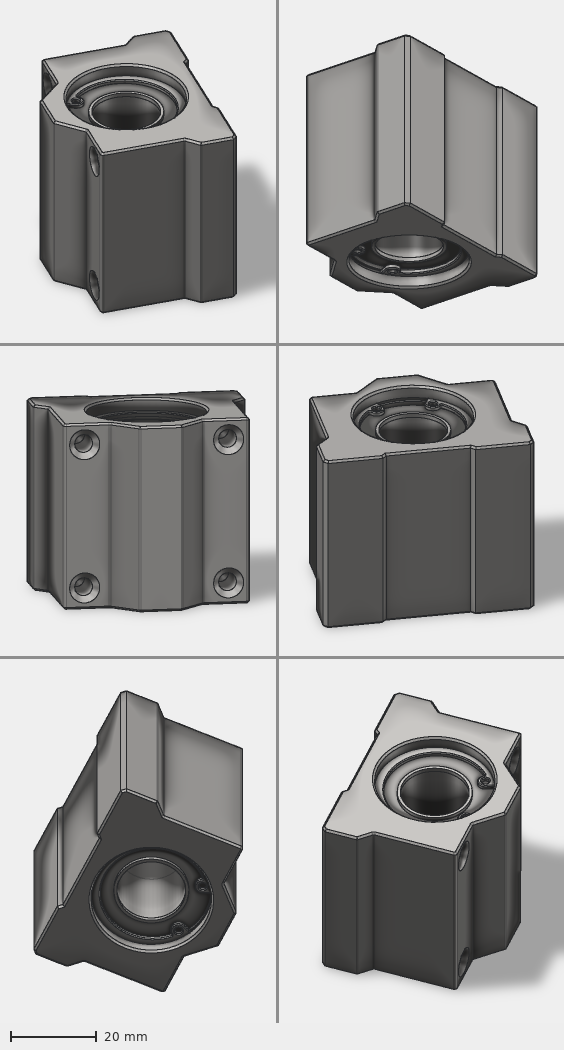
import cadquery as cq
import math

LENGTH = 44.0
HALF_LENGTH = LENGTH / 2
FLANGE_HALF_WIDTH = 25.0
BODY_HALF_WIDTH = 22.0
BACK_Y = 19.0
FLANGE_FRONT_Y = 10.0
BODY_FRONT_Y = -13.5
NOSE_Y = -19.5
NOSE_HALF_WIDTH = 5.0
RELIEF_HALF_WIDTH = 10.0
RELIEF_DEPTH = 1.0
BACK_CORNER_CHAMFER = 1.0
EDGE_ROUND = 0.5
BODY_CORNER_ROUND = 0.75
END_CHAMFER = 0.5

BORE_RADIUS = 14.0
BORE_CHAMFER = 0.5

HOLE_X = 17.0
HOLE_Z = 17.0
HOLE_RADIUS = 2.1
HOLE_DEPTH = 12.0
DRILL_POINT_ANGLE = 118.0
COUNTERSINK_RADIUS = 3.55

SHAFT_RADIUS = 8.0
SLEEVE_HALF_LENGTH = 17.0
COLLAR_RADIUS = 8.75
COLLAR_HEIGHT = 1.0

RING_OUTER_RADIUS = 14.7
RING_INNER_RADIUS = 12.3
RING_ECCENTRICITY = 0.45
RING_TOP_Z = 19.0
RING_THICKNESS = 1.0
RING_EDGE_CHAMFER = 0.25
LUG_CENTER_RADIUS = 12.1
LUG_ANGLE = 33.5
LUG_RADIUS = 1.85
LUG_HOLE_RADIUS = 0.9
LUG_ROOT_FILLET = 0.3


def mirrored_outline(right_side):
    """Close an outline from its right-hand points by reflecting them in the YZ plane."""
    left_side = [(-x, y) for x, y in reversed(right_side)]
    return cq.Workplane("XY").polyline(right_side + left_side).close()


def housing_block():
    flange_slope = FLANGE_HALF_WIDTH - BODY_HALF_WIDTH
    nose_slope = BODY_FRONT_Y - NOSE_Y
    nose_corner = (NOSE_HALF_WIDTH, NOSE_Y)
    nose_root = (NOSE_HALF_WIDTH + nose_slope, BODY_FRONT_Y)
    flange_root = (BODY_HALF_WIDTH, FLANGE_FRONT_Y - flange_slope)
    flange_corner = (FLANGE_HALF_WIDTH, FLANGE_FRONT_Y)
    rounded_right_edges = [nose_corner, nose_root, flange_root, flange_corner]
    outline = mirrored_outline(
        [
            nose_corner,
            nose_root,
            (BODY_HALF_WIDTH, BODY_FRONT_Y),
            flange_root,
            flange_corner,
            (FLANGE_HALF_WIDTH, BACK_Y - BACK_CORNER_CHAMFER),
            (FLANGE_HALF_WIDTH - BACK_CORNER_CHAMFER, BACK_Y),
            (RELIEF_HALF_WIDTH + RELIEF_DEPTH, BACK_Y),
            (RELIEF_HALF_WIDTH, BACK_Y - RELIEF_DEPTH),
        ]
    )
    block = outline.extrude(HALF_LENGTH, both=True)
    for x in (-BODY_HALF_WIDTH, BODY_HALF_WIDTH):
        corner = cq.selectors.NearestToPointSelector((x, BODY_FRONT_Y, 0))
        block = block.edges("|Z").edges(corner).fillet(BODY_CORNER_ROUND)
    for x, y in rounded_right_edges:
        for edge_x in (-x, x):
            edge = cq.selectors.NearestToPointSelector((edge_x, y, 0))
            block = block.edges("|Z").edges(edge).fillet(EDGE_ROUND)
    return block.faces("<Z or >Z").chamfer(END_CHAMFER)


def bore_cutter():
    mouth_radius = BORE_RADIUS + BORE_CHAMFER
    bore = cq.Workplane("XY").circle(BORE_RADIUS).extrude(HALF_LENGTH, both=True)
    groove = cq.Workplane("XY").circle(RING_OUTER_RADIUS).extrude(RING_THICKNESS)
    upper_groove = groove.translate((0, 0, RING_TOP_Z - RING_THICKNESS))
    mouth_base = cq.Vector(0, 0, HALF_LENGTH - BORE_CHAMFER)
    mouth = cq.Workplane(cq.Solid.makeCone(BORE_RADIUS, mouth_radius, BORE_CHAMFER, mouth_base))
    for end_feature in (upper_groove, mouth):
        bore = bore.union(end_feature).union(end_feature.mirror("XY"))
    return bore


def mounting_hole_cutter():
    """Countersunk blind hole with a drill point, revolved about Y and opening at Y = 0."""
    countersink_depth = COUNTERSINK_RADIUS - HOLE_RADIUS
    point_depth = HOLE_RADIUS / math.tan(math.radians(DRILL_POINT_ANGLE / 2))
    half_section = [
        (0, 0),
        (COUNTERSINK_RADIUS, 0),
        (HOLE_RADIUS, countersink_depth),
        (HOLE_RADIUS, HOLE_DEPTH),
        (0, HOLE_DEPTH + point_depth),
    ]
    return cq.Workplane("XY").polyline(half_section).close().revolve(360, (0, 0), (0, 1))


def make_housing():
    housing = housing_block().cut(bore_cutter())
    hole = mounting_hole_cutter()
    for x in (-HOLE_X, HOLE_X):
        for z in (-HOLE_Z, HOLE_Z):
            housing = housing.cut(hole.translate((x, BODY_FRONT_Y, z)))
    return housing


def make_sleeve():
    return cq.Workplane("XY").circle(BORE_RADIUS).circle(SHAFT_RADIUS).extrude(SLEEVE_HALF_LENGTH, both=True)


def make_collar():
    """Upper collar, standing on the end face of the sleeve around the shaft hole."""
    plane = cq.Workplane("XY", origin=(0, 0, SLEEVE_HALF_LENGTH))
    return plane.circle(COLLAR_RADIUS).circle(SHAFT_RADIUS).extrude(COLLAR_HEIGHT)


def polar_from_front(radius, angle, center_y=0.0):
    """Point at an angle, in radians, measured from the -Y direction towards +X."""
    return (radius * math.sin(angle), center_y - radius * math.cos(angle))


def make_retaining_ring():
    """Upper ring: thickest at the back, open at the front between two drilled lugs."""
    lug_angle = math.radians(LUG_ANGLE)
    lug_center = polar_from_front(LUG_CENTER_RADIUS, lug_angle)
    lug_inner_point = polar_from_front(LUG_CENTER_RADIUS - LUG_RADIUS, lug_angle)

    end_angle = lug_angle - math.asin(LUG_RADIUS / LUG_CENTER_RADIUS)
    end_outer_point = polar_from_front(RING_OUTER_RADIUS, end_angle)
    end_tangent_point = polar_from_front(math.sqrt(LUG_CENTER_RADIUS**2 - LUG_RADIUS**2), end_angle)

    inner_center_y = -RING_ECCENTRICITY
    lug_distance = math.hypot(lug_center[0], lug_center[1] - inner_center_y)
    lug_direction = math.atan2(lug_center[0], inner_center_y - lug_center[1])
    cosine = (lug_distance**2 + RING_INNER_RADIUS**2 - LUG_RADIUS**2) / (2 * lug_distance * RING_INNER_RADIUS)
    lug_root = polar_from_front(RING_INNER_RADIUS, lug_direction + math.acos(cosine), inner_center_y)

    def mirrored(point):
        return (-point[0], point[1])

    plane = cq.Workplane("XY", origin=(0, 0, RING_TOP_Z - RING_THICKNESS))
    ring = (
        plane.moveTo(*end_outer_point)
        .threePointArc((0, RING_OUTER_RADIUS), mirrored(end_outer_point))
        .lineTo(*mirrored(end_tangent_point))
        .threePointArc(mirrored(lug_inner_point), mirrored(lug_root))
        .threePointArc((0, inner_center_y + RING_INNER_RADIUS), lug_root)
        .threePointArc(lug_inner_point, end_tangent_point)
        .close()
        .extrude(RING_THICKNESS)
    )
    lug_holes = plane.pushPoints([lug_center, mirrored(lug_center)]).circle(LUG_HOLE_RADIUS)
    ring = ring.cut(lug_holes.extrude(RING_THICKNESS))
    for root in (lug_root, mirrored(lug_root)):
        root_point = (*root, RING_TOP_Z - RING_THICKNESS / 2)
        ring = ring.edges(cq.selectors.NearestToPointSelector(root_point)).fillet(LUG_ROOT_FILLET)
    return ring.faces(">Z").chamfer(RING_EDGE_CHAMFER)


def at_both_ends(upper_body):
    return [upper_body.val(), upper_body.mirror("XY").val()]


housing = make_housing()
sleeve = make_sleeve()
collars = at_both_ends(make_collar())
retaining_rings = at_both_ends(make_retaining_ring())

result = cq.Compound.makeCompound([housing.val(), sleeve.val(), *collars, *retaining_rings])